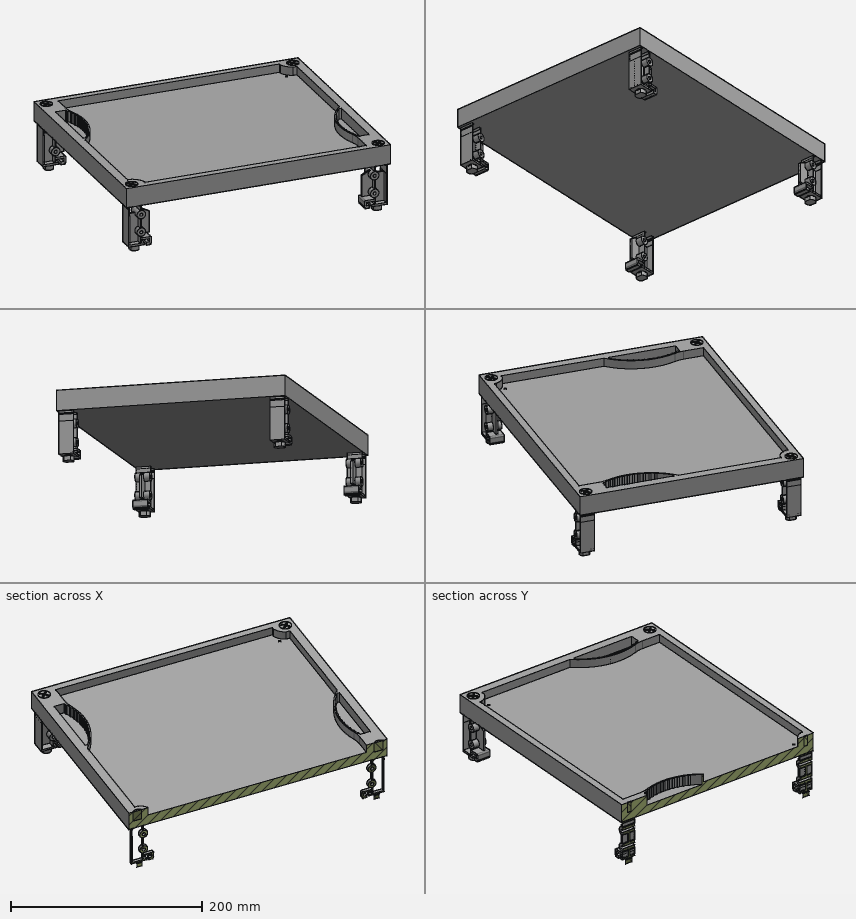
import cadquery as cq
import math

cover_x = 250.0
cover_y = 300.0
cover_height = 22.0
total_height = 74.23
edge_x = cover_x / 2
edge_y = cover_y / 2

screw_inset = 10.0
screw_diameter = 13.0
screw_length = 12.0
screw_dome_rise = 0.5
cross_width = 1.4
cross_length = 10.0
cross_depth = 1.2

pocket_depth = 9.5
pocket_inset_x = 8.0
pocket_inset_y = 10.2
pocket_step_y = 24.3
corner_block_x = 21.0
corner_arc_start_y = 14.5
corner_arc_end_x = 10.5
corner_arc_radius = 17.0
marker_hole_diameter = 2.4
marker_hole_depth = 5.0
marker_hole_x = 21.1
marker_hole_y = 22.0

grip_depth = 12.0
grip_start_x = 33.8
grip_end_x = 109.0
arch_peak_x = 64.8
arch_peak_y = 30.5
arch_radius = 70.0
arch_wall = 1.6
arch_blend_radius = 30.0
rib_count = 11
rib_pitch = 5.7
rib_width = 2.4
rib_height = 0.5

leg_inset_x = 9.5
leg_width = 16.0
outer_wall_y = 3.1
outer_wall_thickness = 1.2
outer_wall_thickening = 0.2
inner_wall_y = 16.4
inner_wall_thickness = 1.2
web_thickness = 2.4
web_offset_x = 0.5
web_top_z = -10.5
web_shoulder_z = -11.6
web_slope_y = 20.0
web_slope_z = -6.8
web_end_y = 29.3
web_bottom_z = -35.4
boss_y = 17.5
boss_diameter = 9.6
boss_hole_diameter = 3.4
boss_top_z = -11.2
boss_spacing = 20.0
groove_top_z = -2.4
groove_height = 1.2
groove_depth = 0.3
wall_hook = 1.8

base_top_z = -43.7
base_bottom_z = -46.0
base_end_y = 21.1
rail_top_z = -37.7
rail_thickness = 2.3
rail_lip_y = 23.4
rail_fillet = 1.5
lip_ridge_height = 1.1
lip_ridge_inset = 1.0

peg_y = 12.3
peg_neck_diameter = 8.0
peg_head_diameter = 11.6
peg_head_across_flats = 9.4
peg_head_height = 5.0
peg_bottom_z = cover_height - total_height


def both_ends(solid):
    """The solid and its copy turned half a turn about the cover's centre."""
    return solid.union(solid.rotate((0, 0, 0), (0, 0, 1), 180))


def arch_y(x_from_peak, radius):
    """Distance from the Y edge of an arch about the common arch centre."""
    centre_y = arch_peak_y - arch_radius
    return centre_y + math.sqrt(radius**2 - x_from_peak**2)


def arch_reach(y_inset, radius):
    """Distance along X from the arch peak to where the arch is y_inset from the edge."""
    return math.sqrt(radius**2 - (y_inset - arch_peak_y + arch_radius) ** 2)


def slab(sketch, depth):
    """Cutting body of the given depth, sunk from the cover's top face."""
    return sketch.extrude(-depth)


def top_plane():
    return cq.Workplane("XY", origin=(0, 0, cover_height))


def pocket_cut():
    half_x = edge_x - pocket_inset_x
    half_y = edge_y - pocket_inset_y
    pocket = slab(top_plane().rect(2 * half_x, 2 * half_y), pocket_depth)

    screw_corner = slab(
        top_plane()
        .moveTo(-edge_x, edge_y)
        .lineTo(-edge_x + corner_block_x, edge_y)
        .lineTo(-edge_x + corner_block_x, edge_y - corner_arc_start_y)
        .radiusArc((-edge_x + corner_arc_end_x, edge_y - pocket_step_y), corner_arc_radius)
        .lineTo(-edge_x, edge_y - pocket_step_y)
        .close(),
        pocket_depth,
    )

    blend_rise = pocket_step_y + arch_blend_radius - (arch_peak_y - arch_radius)
    centre_distance = arch_radius + arch_blend_radius
    blend_run = math.sqrt(centre_distance**2 - blend_rise**2)
    blend_start_x = arch_peak_x - blend_run
    arch_start_x = arch_peak_x - blend_run * arch_radius / centre_distance
    arch_start_y = arch_y(arch_start_x - arch_peak_x, arch_radius)
    arch_stop_x = arch_peak_x + arch_reach(pocket_inset_y, arch_radius)
    grip_land = slab(
        top_plane()
        .moveTo(-edge_x, -edge_y)
        .lineTo(-edge_x, -edge_y + pocket_step_y)
        .lineTo(-edge_x + blend_start_x, -edge_y + pocket_step_y)
        .radiusArc((-edge_x + arch_start_x, -edge_y + arch_start_y), -arch_blend_radius)
        .threePointArc(
            (-edge_x + arch_peak_x, -edge_y + arch_peak_y),
            (-edge_x + arch_stop_x, -edge_y + pocket_inset_y),
        )
        .lineTo(-edge_x + arch_stop_x, -edge_y)
        .close(),
        pocket_depth,
    )
    return pocket.cut(both_ends(screw_corner)).cut(both_ends(grip_land))


def grip_cut():
    radius = arch_radius - arch_wall
    start_y = arch_y(grip_start_x - arch_peak_x, radius)
    end_y = arch_y(grip_end_x - arch_peak_x, radius)
    recess = slab(
        top_plane()
        .moveTo(-edge_x + grip_start_x, -edge_y + pocket_inset_y)
        .lineTo(-edge_x + grip_start_x, -edge_y + start_y)
        .threePointArc(
            (-edge_x + arch_peak_x, -edge_y + arch_peak_y - arch_wall),
            (-edge_x + grip_end_x, -edge_y + end_y),
        )
        .lineTo(-edge_x + grip_end_x, -edge_y + pocket_inset_y)
        .close(),
        grip_depth,
    )
    rib_points = []
    for index in range(rib_count):
        offset = (index - (rib_count - 1) / 2) * rib_pitch
        rib_points.append((-edge_x + arch_peak_x + offset, -edge_y + arch_y(offset, radius)))
    ribs = slab(top_plane().pushPoints(rib_points).rect(rib_width, 2 * rib_height), grip_depth)
    return both_ends(recess.cut(ribs))


screw_points = [
    (side_x * (edge_x - screw_inset), side_y * (edge_y - screw_inset))
    for side_x in (-1, 1)
    for side_y in (-1, 1)
]


def make_cover():
    cover = cq.Workplane("XY").box(cover_x, cover_y, cover_height, centered=(True, True, False))
    cover = cover.cut(pocket_cut()).cut(grip_cut())
    screw_holes = slab(top_plane().pushPoints(screw_points).circle(screw_diameter / 2), screw_length)
    marker_x = edge_x - marker_hole_x
    marker_y = edge_y - marker_hole_y
    marker_points = [(-marker_x, marker_y), (marker_x, -marker_y)]
    marker_holes = slab(
        top_plane().pushPoints(marker_points).circle(marker_hole_diameter / 2),
        pocket_depth + marker_hole_depth,
    )
    return cover.cut(screw_holes).cut(marker_holes)


def make_screw(x, y):
    radius = screw_diameter / 2
    screw = (
        cq.Workplane("XZ")
        .lineTo(radius, 0)
        .lineTo(radius, screw_length - screw_dome_rise)
        .radiusArc((0, screw_length), -(radius**2 + screw_dome_rise**2) / (2 * screw_dome_rise))
        .close()
        .revolve(360, (0, 0, 0), (0, 1, 0))
    )
    for angle in (45, 135):
        slot = (
            cq.Workplane("XY", origin=(0, 0, screw_length))
            .transformed(rotate=(0, 0, angle))
            .rect(cross_length, cross_width)
            .extrude(-cross_depth)
        )
        screw = screw.cut(slot)
    return screw.translate((x, y, cover_height - screw_length))


def leg_plate(points, width):
    """Plate with the given (Y, Z) outline, symmetric about X = 0."""
    return cq.Workplane("YZ").polyline(points).close().extrude(width / 2, both=True)


def leg_bar(y_start, y_end, z_bottom, z_top):
    outline = [(y_start, z_bottom), (y_end, z_bottom), (y_end, z_top), (y_start, z_top)]
    return leg_plate(outline, leg_width)


def leg_walls():
    outer_inside_y = outer_wall_y + outer_wall_thickness
    inner_far_y = inner_wall_y + inner_wall_thickness
    walls = leg_bar(outer_wall_y, outer_inside_y, base_bottom_z, 0)
    lower_inside_y = outer_inside_y + outer_wall_thickening
    walls = walls.union(leg_bar(outer_wall_y, lower_inside_y, base_bottom_z, web_top_z))
    groove = leg_bar(
        outer_wall_y, outer_wall_y + groove_depth, groove_top_z - groove_height, groove_top_z
    )
    walls = walls.cut(groove)

    walls = walls.union(leg_bar(inner_wall_y, inner_far_y, base_bottom_z, 0))

    for wall_y, inward in ((outer_inside_y, 1), (inner_wall_y, -1)):
        hook = [(wall_y, 0), (wall_y + inward * wall_hook, 0), (wall_y, -wall_hook)]
        walls = walls.union(leg_plate(hook, leg_width))
    return walls


def leg_web():
    outline = [
        (outer_wall_y, base_bottom_z),
        (inner_wall_y + inner_wall_thickness, base_bottom_z),
        (inner_wall_y + inner_wall_thickness, web_bottom_z),
        (web_end_y, web_bottom_z),
        (web_end_y, web_shoulder_z),
        (web_slope_y, web_slope_z),
        (boss_y, web_top_z),
        (outer_wall_y, web_top_z),
    ]
    return leg_plate(outline, web_thickness).translate((web_offset_x, 0, 0))


def leg_rail():
    rail = leg_bar(outer_wall_y, base_end_y, base_bottom_z, base_top_z)
    rail = rail.union(leg_bar(inner_wall_y, web_end_y, rail_top_z - rail_thickness, rail_top_z))
    rail = rail.union(leg_bar(web_end_y - rail_thickness, web_end_y, base_bottom_z, rail_top_z))
    rail = rail.union(leg_bar(rail_lip_y, web_end_y, base_bottom_z, base_top_z))
    rail = rail.faces(">Y").edges("|X").fillet(rail_fillet)
    ridge = leg_bar(
        rail_lip_y, web_end_y - lip_ridge_inset, base_bottom_z - lip_ridge_height, base_bottom_z
    )
    return rail.union(ridge)


def boss_cylinders(diameter):
    centres = [(boss_y, boss_top_z), (boss_y, boss_top_z - boss_spacing)]
    sketch = cq.Workplane("YZ").pushPoints(centres).circle(diameter / 2)
    return sketch.extrude(leg_width / 2, both=True)


def leg_peg():
    neck = (
        cq.Workplane("XY", origin=(0, peg_y, peg_bottom_z))
        .circle(peg_neck_diameter / 2)
        .extrude(base_bottom_z - peg_bottom_z)
    )
    head_plane = cq.Workplane("XY", origin=(0, peg_y, peg_bottom_z))
    head = head_plane.circle(peg_head_diameter / 2).extrude(peg_head_height)
    flats = head_plane.rect(peg_head_diameter, peg_head_across_flats).extrude(peg_head_height)
    return neck.union(head.intersect(flats))


def make_leg(side_x, side_y):
    leg = leg_walls().union(leg_web()).union(leg_rail())
    leg = leg.union(boss_cylinders(boss_diameter)).cut(boss_cylinders(boss_hole_diameter))
    leg = leg.union(leg_peg()).translate((0, -edge_y, 0))
    if side_y > 0:
        leg = leg.mirror("XZ")
    return leg.translate((side_x * (edge_x - leg_inset_x), 0, 0))


cover = make_cover()
screws = [make_screw(x, y) for x, y in screw_points]
legs = [make_leg(side_x, side_y) for side_x in (-1, 1) for side_y in (-1, 1)]

result = cq.Compound.makeCompound(
    [cover.val()] + [screw.val() for screw in screws] + [leg.val() for leg in legs]
)